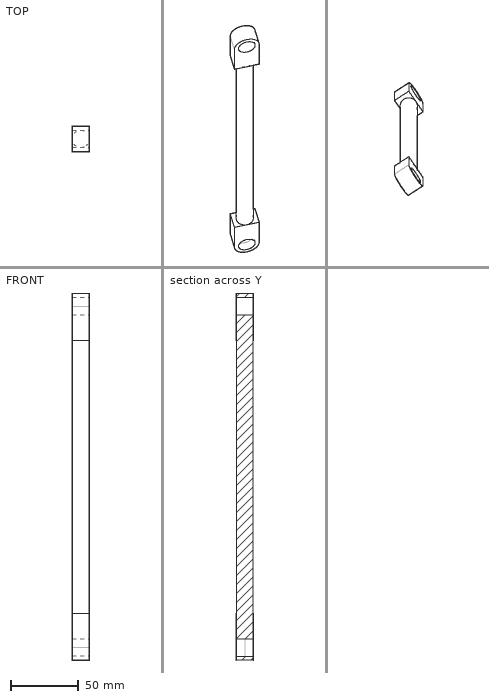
import cadquery as cq

length = 273.0
end_width = 19.0
thickness = 12.8

end_height = 35.0
hole_diameter = 12.8
rod_diameter = thickness

tip_radius = end_width / 2
hole_height = length / 2 - tip_radius
shoulder_height = length / 2 - end_height


def make_end():
    """Upper eye end: a flat block with a round tip and a pin hole along X."""
    block = (
        cq.Workplane("YZ")
        .moveTo(-tip_radius, shoulder_height)
        .lineTo(tip_radius, shoulder_height)
        .lineTo(tip_radius, hole_height)
        .threePointArc((0, length / 2), (-tip_radius, hole_height))
        .close()
        .extrude(thickness / 2, both=True)
    )
    pin_hole = (
        cq.Workplane("YZ")
        .center(0, hole_height)
        .circle(hole_diameter / 2)
        .extrude(thickness, both=True)
    )
    return block.cut(pin_hole)


rod = cq.Workplane("XY").circle(rod_diameter / 2).extrude(shoulder_height, both=True)

upper_end = make_end()
lower_end = upper_end.mirror("XY")
result = rod.union(upper_end).union(lower_end)